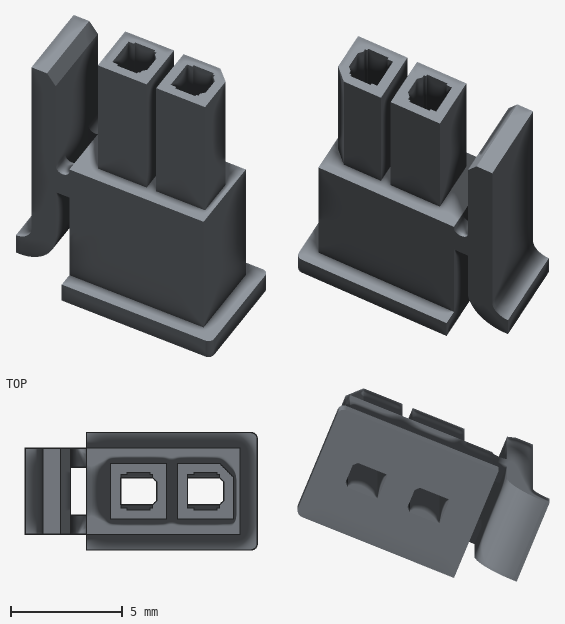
import cadquery as cq

TOTAL_HEIGHT = 14.0
FLANGE_HEIGHT = 1.0
BODY_TOP = 7.57

BODY_LEFT = 2.75
BODY_LENGTH = 6.89
BODY_WIDTH = 3.86
FLANGE_LENGTH = 7.66
FLANGE_WIDTH = 5.26
FLANGE_CORNER = 0.3

TOWER_SIZE = 2.5
TOWER_LEFT = 3.82
TOWER_PITCH = 3.0
TOWER_KEY = 0.62

CAVITY_OFFSET = 0.46
CAVITY_LENGTH = 1.61
CAVITY_WIDTH = 1.2
CAVITY_CORNER = 0.18
SHOULDER_LENGTH = CAVITY_LENGTH - CAVITY_CORNER
SHOULDER_WIDTH = 1.5
RELIEF_INSET = 0.28
RELIEF_LENGTH = 1.04
RELIEF_WIDTH = 1.7
POCKET_DEPTH = TOTAL_HEIGHT - BODY_TOP

ARM_LEFT = 0.8
ARM_RIGHT = 2.05
ARM_TOP = 13.02
ARM_TIP_RUN = 0.45
ARM_TIP_DROP = 0.59
CURL_BOTTOM = 1.1
CURL_TIP_TOP = 2.18
CURL_OUTER_RADIUS = 1.86

BRIDGE_BOTTOM = 5.82
BRIDGE_WIDTH = 0.87
NOTCH_RADIUS = (BODY_LEFT - ARM_RIGHT) / 2
NOTCH_FLOOR = 7.11
NOTCH_CENTER_Z = NOTCH_FLOOR + NOTCH_RADIUS


def block(left, length, width, bottom, height):
    """Box starting at X = left and Z = bottom, centred on Y = 0."""
    box = cq.Workplane("XY").box(length, width, height, centered=(False, True, False))
    return box.translate((left, 0, bottom))


def make_flange():
    flange = block(BODY_LEFT, FLANGE_LENGTH, FLANGE_WIDTH, 0, FLANGE_HEIGHT)
    return flange.edges("|Z and >X").fillet(FLANGE_CORNER)


def make_tower(left):
    return block(left, TOWER_SIZE, TOWER_SIZE, BODY_TOP, TOTAL_HEIGHT - BODY_TOP)


def make_cavity(tower_left):
    """Through opening with a wider stepped pocket inside the tower."""
    left = tower_left + CAVITY_OFFSET
    pocket_floor = TOTAL_HEIGHT - POCKET_DEPTH
    opening = block(left, CAVITY_LENGTH, CAVITY_WIDTH, 0, TOTAL_HEIGHT)
    opening = opening.edges("|Z and >X").chamfer(CAVITY_CORNER)
    shoulder = block(left, SHOULDER_LENGTH, SHOULDER_WIDTH, pocket_floor, POCKET_DEPTH)
    relief = block(left + RELIEF_INSET, RELIEF_LENGTH, RELIEF_WIDTH, pocket_floor, POCKET_DEPTH)
    return opening.union(shoulder).union(relief)


def make_latch_arm():
    profile = (
        cq.Workplane("XZ", origin=(0, BODY_WIDTH / 2, 0))
        .moveTo(0, CURL_BOTTOM)
        .lineTo(ARM_RIGHT - CURL_OUTER_RADIUS, CURL_BOTTOM)
        .radiusArc((ARM_RIGHT, CURL_BOTTOM + CURL_OUTER_RADIUS), -CURL_OUTER_RADIUS)
        .lineTo(ARM_RIGHT, ARM_TOP - ARM_TIP_DROP)
        .lineTo(ARM_RIGHT - ARM_TIP_RUN, ARM_TOP)
        .lineTo(ARM_LEFT, ARM_TOP)
        .lineTo(ARM_LEFT, CURL_TIP_TOP + ARM_LEFT)
        .radiusArc((0, CURL_TIP_TOP), ARM_LEFT)
        .close()
    )
    return profile.extrude(BODY_WIDTH)


def make_bridge(side):
    """Bridge flush with one side of the body; side is -1 or +1 along Y."""
    start_y = BODY_WIDTH / 2 if side > 0 else BRIDGE_WIDTH - BODY_WIDTH / 2
    profile = (
        cq.Workplane("XZ", origin=(0, start_y, 0))
        .moveTo(ARM_RIGHT, BRIDGE_BOTTOM)
        .lineTo(BODY_LEFT, BRIDGE_BOTTOM)
        .lineTo(BODY_LEFT, NOTCH_CENTER_Z)
        .threePointArc(((ARM_RIGHT + BODY_LEFT) / 2, NOTCH_FLOOR), (ARM_RIGHT, NOTCH_CENTER_Z))
        .close()
    )
    return profile.extrude(BRIDGE_WIDTH)


tower_lefts = [TOWER_LEFT, TOWER_LEFT + TOWER_PITCH]
plain_tower = make_tower(tower_lefts[0])
keyed_tower = make_tower(tower_lefts[1]).edges("|Z and >X and >Y").chamfer(TOWER_KEY)

result = make_flange()
result = result.union(block(BODY_LEFT, BODY_LENGTH, BODY_WIDTH, 0, BODY_TOP))
result = result.union(plain_tower).union(keyed_tower)
result = result.union(make_latch_arm())
for side in (-1, 1):
    result = result.union(make_bridge(side))
for tower_left in tower_lefts:
    result = result.cut(make_cavity(tower_left))